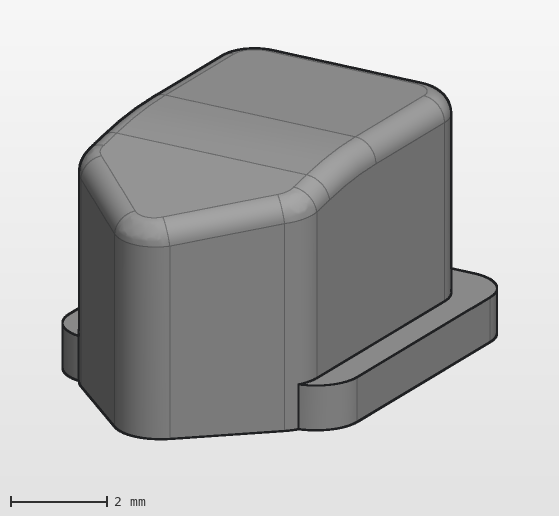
import cadquery as cq
import math

plate_width = 7.0
plate_length = 7.35
plate_height = 1.0
corner_radius = 1.0

overall_length = 9.46
body_height = 5.5
body_width = 5.62
back_inset = 0.7
nose_angle = math.radians(42)

flat_end_y = -4.46
roof_radius = 10.0
slope_angle = math.radians(11.3)
roof_fillet = 0.5

margin = 0.95


def make_plate():
    return (
        cq.Workplane("XY")
        .rect(plate_width, plate_length)
        .extrude(plate_height)
        .edges("|Z")
        .fillet(corner_radius)
        .translate((0, -plate_length / 2, 0))
    )


def make_body_prism():
    half_width = body_width / 2
    apex_y = -overall_length - corner_radius * (1 / math.cos(nose_angle) - 1)
    shoulder_y = apex_y + half_width * math.tan(nose_angle)
    outline = [
        (-half_width, -back_inset),
        (half_width, -back_inset),
        (half_width, shoulder_y),
        (0, apex_y),
        (-half_width, shoulder_y),
    ]
    prism = cq.Workplane("XY").polyline(outline).close().extrude(body_height)
    return prism.edges("|Z").fillet(corner_radius)


def roof_arc_point(angle):
    """Point (y, z) on the roof arc, measured from the end of the flat."""
    y = flat_end_y - roof_radius * math.sin(angle)
    z = body_height - roof_radius * (1 - math.cos(angle))
    return y, z


def make_roof_cutter():
    arc_end = roof_arc_point(slope_angle)
    front_y = -overall_length - margin
    front_z = arc_end[1] + (front_y - arc_end[0]) * math.tan(slope_angle)
    return (
        cq.Workplane("YZ")
        .moveTo(flat_end_y, body_height)
        .threePointArc(roof_arc_point(slope_angle / 2), arc_end)
        .lineTo(front_y, front_z)
        .lineTo(front_y, body_height + margin)
        .lineTo(flat_end_y, body_height + margin)
        .close()
        .extrude(body_width / 2 + margin, both=True)
    )


def make_body():
    body = make_body_prism().cut(make_roof_cutter())
    return body.faces(">Z").edges(">Y").fillet(roof_fillet)


result = make_plate().union(make_body())